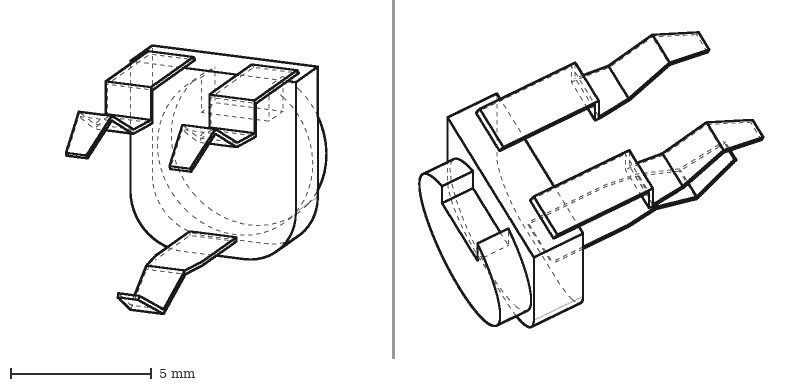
import cadquery as cq
import math


housing_width = 6.4
housing_height = 6.85
housing_depth = 2.0
corner_radius = 2.0

dial_radius = 3.0
dial_depth = 1.25
dial_axis_z = 3.19
slot_width = 2.62
slot_depth = slot_width / 2

strip_thickness = 0.15
total_length = 11
tip_reach = total_length - housing_depth - dial_depth
taper_start = 3.1
bend_reach = 4.3
kink_reach = 6.01
kink_angle = math.radians(30)
bend_width = 1.5
kink_width = 1.28
tip_width = 0.79

upper_spacing = 4.0
upper_width = 1.75
upper_overlap = 1.02
step_reach = 3.0
step_drop = 1.22
end_bevel_length = strip_thickness

lower_width = 1.8
lower_top_z = 0.78


def strip_profile(path):
    """Closed YZ outline of a strip of constant thickness with mitred bends around a centre path."""
    half = strip_thickness / 2
    angles = [math.atan2(b[1] - a[1], b[0] - a[0]) for a, b in zip(path, path[1:])]
    incoming = [angles[0]] + angles
    outgoing = angles + [angles[-1]]
    left_side = []
    right_side = []
    for (y, z), before, after in zip(path, incoming, outgoing):
        middle = (before + after) / 2
        reach = half / math.cos((after - before) / 2)
        dy = -math.sin(middle) * reach
        dz = math.cos(middle) * reach
        left_side.append((y + dy, z + dz))
        right_side.append((y - dy, z - dz))
    outline = left_side + right_side[::-1]
    return cq.Workplane("YZ").polyline(outline).close()


def kinked_end(run_z, direction):
    """Centre path of the contact end: bend, kink (up for +1, down for -1), tip."""
    tip_centre = tip_reach - strip_thickness / 2 * math.sin(kink_angle)
    kink_z = run_z + direction * (kink_reach - bend_reach) * math.tan(kink_angle)
    tip_z = kink_z - direction * (tip_centre - kink_reach) * math.tan(kink_angle)
    return [(-bend_reach, run_z), (-kink_reach, kink_z), (-tip_centre, tip_z)]


def tapered_strip(path, root_width):
    """Bent strip trimmed to its narrowing plan outline, centred on x = 0."""
    root_y = path[0][0]
    right_edge = [
        (root_width / 2, root_y),
        (root_width / 2, -taper_start),
        (bend_width / 2, -bend_reach),
        (kink_width / 2, -kink_reach),
        (tip_width / 2, -tip_reach),
    ]
    left_edge = [(-x, y) for x, y in reversed(right_edge)]
    plan = (
        cq.Workplane("XY")
        .polyline(right_edge + left_edge)
        .close()
        .extrude(2 * housing_height, both=True)
    )
    strip = strip_profile(path).extrude(root_width, both=True)
    return strip.intersect(plan).solids()


def make_housing():
    block = (
        cq.Workplane("XY")
        .box(housing_width, housing_depth, housing_height, centered=(True, False, False))
        .edges("|Y and <Z")
        .fillet(corner_radius)
    )
    dial = (
        cq.Workplane("XZ", origin=(0, housing_depth, dial_axis_z))
        .circle(dial_radius)
        .extrude(-dial_depth)
    )
    rim_height = math.sqrt(dial_radius**2 - (slot_width / 2) ** 2)
    slot_floor_z = dial_axis_z + rim_height - slot_depth
    slot = (
        cq.Workplane("XY", origin=(0, housing_depth, slot_floor_z))
        .box(slot_width, dial_depth, dial_radius, centered=(True, False, False))
    )
    return block.union(dial.cut(slot)).solids()


def make_upper_terminal(x):
    half = strip_thickness / 2
    top_run_z = housing_height + half
    low_run_z = housing_height - step_drop + half
    step_y = half - step_reach
    path = [(upper_overlap, top_run_z), (step_y, top_run_z), (step_y, low_run_z)]
    path += kinked_end(low_run_z, 1)
    terminal = tapered_strip(path, upper_width)
    bevel = (
        cq.Workplane("YZ")
        .moveTo(upper_overlap, housing_height)
        .line(0, strip_thickness)
        .line(-end_bevel_length, 0)
        .close()
        .extrude(upper_width, both=True)
    )
    return terminal.cut(bevel).translate((x, 0, 0)).solids()


def make_lower_terminal():
    run_z = lower_top_z - strip_thickness / 2
    path = [(0, run_z)] + kinked_end(run_z, -1)
    return tapered_strip(path, lower_width)


housing = make_housing()
upper_terminals = [make_upper_terminal(side * upper_spacing / 2) for side in (-1, 1)]
lower_terminal = make_lower_terminal()

result = cq.Compound.makeCompound(
    [housing.val(), *[terminal.val() for terminal in upper_terminals], lower_terminal.val()]
)